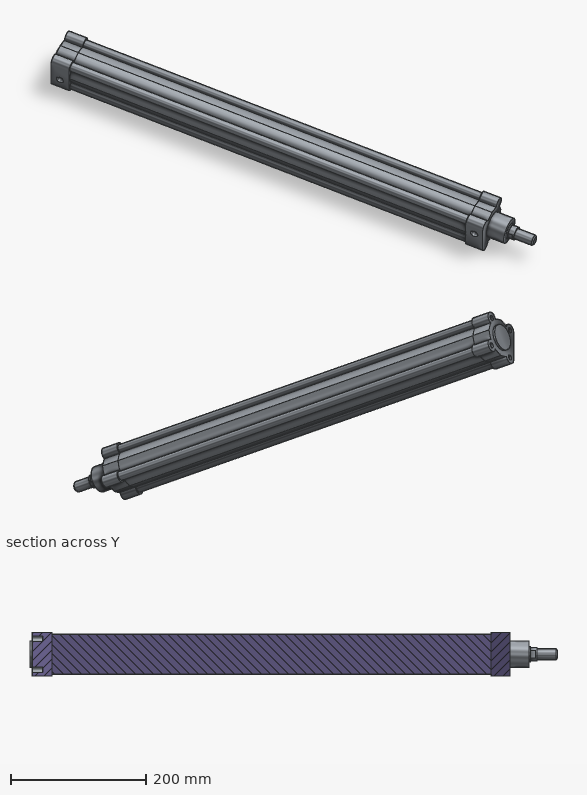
import cadquery as cq
import math

length = 779.0
cap_side = 65.0

rear_boss_height = 3.0
rear_cap_length = 29.5
front_cap_start = 681.0
front_cap_end = 709.0
collar_end = 737.0
gland_end = 739.0
rear_cap_end = rear_boss_height + rear_cap_length

core_radius = 29.0

cap_lobe_spacing = 46.0
cap_lobe_radius = (cap_side - cap_lobe_spacing) / 2
cap_ridge_angle = 15.0
boss_diameter = 40.0
gland_diameter = 23.0
screw_hole_diameter = 8.0
screw_hole_depth = 15.5
port_diameter = 12.0
port_depth = 8.0
port_offset = 8.0

barrel_side = 59.0
barrel_lobe_spacing = 45.0
barrel_lobe_radius = (barrel_side - barrel_lobe_spacing) / 2
barrel_ridge_angle = 11.0

rod_diameter = 20.0
flats_width = 17.0
flats_end = 746.0
rod_shoulder = 749.0
thread_diameter = 16.0
thread_chamfer = 2.0


def cylinder(x_start, x_end, diameter):
    """Round bar along the cylinder axis."""
    return cq.Workplane("YZ").workplane(offset=x_start).circle(diameter / 2).extrude(x_end - x_start)


def ridge(x_start, x_end, ridge_angle):
    """Blunt +Z ridge whose two slopes leave the core tangentially, tilted by ridge_angle degrees."""
    tilt = math.radians(ridge_angle)
    half_width = core_radius * math.sin(tilt)
    foot_height = core_radius * math.cos(tilt)
    peak_height = core_radius / math.cos(tilt)
    return (
        cq.Workplane("YZ")
        .workplane(offset=x_start)
        .moveTo(0, 0)
        .lineTo(half_width, foot_height)
        .lineTo(0, peak_height)
        .lineTo(-half_width, foot_height)
        .close()
        .extrude(x_end - x_start)
    )


def lobed_bar(x_start, x_end, ridge_angle, lobe_spacing, lobe_radius):
    """Round core with a ridge on each side and a round lobe at each corner."""
    bar = cylinder(x_start, x_end, 2 * core_radius)
    for turn in (0, 90, 180, 270):
        side_ridge = ridge(x_start, x_end, ridge_angle)
        bar = bar.union(side_ridge.rotate((0, 0, 0), (1, 0, 0), turn))
    lobes = (
        cq.Workplane("YZ")
        .workplane(offset=x_start)
        .rect(lobe_spacing, lobe_spacing, forConstruction=True)
        .vertices()
        .circle(lobe_radius)
        .extrude(x_end - x_start)
    )
    return bar.union(lobes)


def cap_block(x_start, x_end, port_z):
    """Lobed end cap with a flat -Y side that carries the air port."""
    cap_length = x_end - x_start
    cap_mid = (x_start + x_end) / 2
    web = cq.Workplane("XY").box(cap_length, cap_lobe_radius, cap_lobe_spacing)
    web = web.translate((cap_mid, -(cap_side - cap_lobe_radius) / 2, 0))
    port = (
        cq.Workplane("XZ", origin=(cap_mid, -cap_side / 2, port_z))
        .circle(port_diameter / 2)
        .extrude(-port_depth)
    )
    cap = lobed_bar(x_start, x_end, cap_ridge_angle, cap_lobe_spacing, cap_lobe_radius)
    return cap.union(web).cut(port)


def make_rear_cap():
    screw_holes = (
        cq.Workplane("YZ")
        .workplane(offset=rear_boss_height)
        .rect(cap_lobe_spacing, cap_lobe_spacing, forConstruction=True)
        .vertices()
        .circle(screw_hole_diameter / 2)
        .extrude(screw_hole_depth)
    )
    cap = cap_block(rear_boss_height, rear_cap_end, -port_offset)
    return cap.cut(screw_holes).union(cylinder(0, rear_boss_height, boss_diameter))


def make_barrel():
    return lobed_bar(
        rear_cap_end,
        front_cap_start,
        barrel_ridge_angle,
        barrel_lobe_spacing,
        barrel_lobe_radius,
    )


def make_front_cap():
    cap = cap_block(front_cap_start, front_cap_end, port_offset)
    cap = cap.union(cylinder(front_cap_end, collar_end, boss_diameter))
    cap = cap.union(cylinder(collar_end, gland_end, gland_diameter))
    return cap.cut(cylinder(front_cap_start, gland_end, rod_diameter))


def make_rod():
    """Plain rod with two wrench flats facing -Y and +Y, then a chamfered thread stub."""
    rod = cylinder(front_cap_start, rod_shoulder, rod_diameter)
    flats_length = flats_end - gland_end
    for side in (-1, 1):
        cutter = cq.Workplane("XY").box(flats_length, rod_diameter, rod_diameter)
        flat_offset = side * (flats_width + rod_diameter) / 2
        rod = rod.cut(cutter.translate((gland_end + flats_length / 2, flat_offset, 0)))
    thread = cylinder(rod_shoulder, length, thread_diameter).faces(">X").chamfer(thread_chamfer)
    return rod.union(thread)


rear_cap = make_rear_cap()
barrel = make_barrel()
front_cap = make_front_cap()
rod = make_rod()

result = cq.Compound.makeCompound([rear_cap.val(), barrel.val(), front_cap.val(), rod.val()])